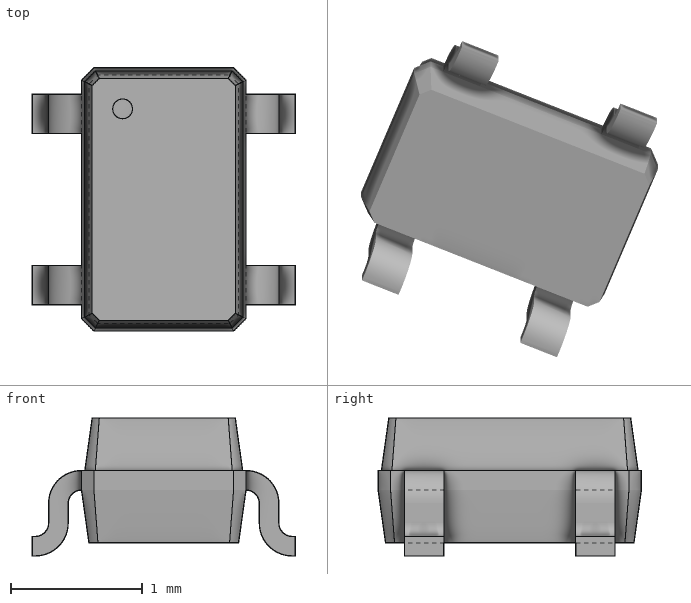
import cadquery as cq
import math

body_width = 1.25
body_length = 2.0
standoff = 0.1
half_height = 0.4
side_draft = 8.0
corner_draft = 8.7
corner_chamfer = 0.095
ledge = 0.025

lead_thickness = 0.15
lead_width = 0.3
lead_pitch = 1.3
lead_span = 2.0
inner_radius = 0.1
outer_radius = inner_radius + lead_thickness

dot_diameter = 0.15
dot_edge_distance = body_width / 4
dot_depth = 0.002

band_bottom = standoff + half_height
band_top = band_bottom + lead_thickness
body_top = band_top + half_height


def body_outline(workplane, side_inset=0.0, corner_inset=0.0):
    """Chamfered rectangle with sides and corner faces moved inward by their insets."""
    leg = corner_chamfer - 2 * side_inset + math.sqrt(2) * corner_inset
    half_x = body_width / 2 - side_inset
    half_y = body_length / 2 - side_inset
    return workplane.polyline([
        (half_x, half_y - leg),
        (half_x - leg, half_y),
        (leg - half_x, half_y),
        (-half_x, half_y - leg),
        (-half_x, leg - half_y),
        (leg - half_x, -half_y),
        (half_x - leg, -half_y),
        (half_x, leg - half_y),
    ]).close()


def make_tapered_half(base_level, end_level, base_inset):
    """Half of the body, narrowing from the base level to the end level."""
    side_inset = base_inset + half_height * math.tan(math.radians(side_draft))
    corner_inset = base_inset + half_height * math.tan(math.radians(corner_draft))
    base = body_outline(cq.Workplane("XY", origin=(0, 0, base_level)), base_inset, base_inset)
    end_plane = base.workplane(offset=end_level - base_level)
    return body_outline(end_plane, side_inset, corner_inset).loft(ruled=True)


def make_body():
    """Lower half, parting band and slightly smaller upper half."""
    band = body_outline(cq.Workplane("XY", origin=(0, 0, band_bottom))).extrude(lead_thickness)
    lower = make_tapered_half(band_bottom, standoff, 0.0)
    upper = make_tapered_half(band_top, body_top, ledge)
    return band.union(lower).union(upper)


def make_lead(center_y):
    """S-shaped lead on the +X side, ending at the side of the band."""
    root_x = body_width / 2
    knee_inner_x = root_x + inner_radius
    knee_outer_x = root_x + outer_radius
    foot_x = knee_outer_x + inner_radius
    toe_x = lead_span / 2
    diagonal = math.sqrt(0.5)
    inner_reach = inner_radius * diagonal
    outer_reach = outer_radius * diagonal
    knee_z = band_top - outer_radius
    ankle_z = outer_radius
    return (
        cq.Workplane("XZ", origin=(0, center_y, 0))
        .moveTo(root_x, band_top)
        .threePointArc((root_x + outer_reach, knee_z + outer_reach), (knee_outer_x, knee_z))
        .lineTo(knee_outer_x, ankle_z)
        .threePointArc((foot_x - inner_reach, ankle_z - inner_reach), (foot_x, lead_thickness))
        .lineTo(toe_x, lead_thickness)
        .lineTo(toe_x, 0)
        .lineTo(foot_x, 0)
        .threePointArc((foot_x - outer_reach, ankle_z - outer_reach), (knee_inner_x, ankle_z))
        .lineTo(knee_inner_x, knee_z)
        .threePointArc((root_x + inner_reach, knee_z + inner_reach), (root_x, band_bottom))
        .close()
        .extrude(lead_width / 2, both=True)
    )


def make_dot():
    """Cutter for the pin 1 dot near the -X, +Y corner of the top face."""
    dot_x = dot_edge_distance - body_width / 2
    dot_y = body_length / 2 - dot_edge_distance
    return (
        cq.Workplane("XY", origin=(dot_x, dot_y, body_top))
        .circle(dot_diameter / 2)
        .extrude(-dot_depth)
    )


result = make_body()
for lead_y in (-lead_pitch / 2, lead_pitch / 2):
    lead = make_lead(lead_y)
    result = result.union(lead).union(lead.mirror("YZ"))
result = result.cut(make_dot())